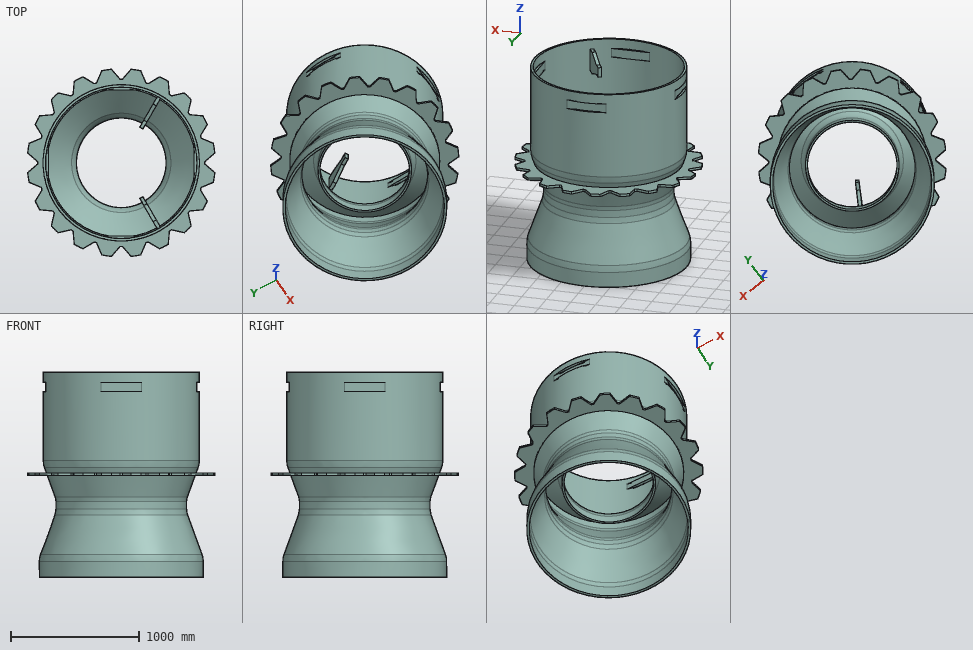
import cadquery as cq
import math

total_height = 1600.0
tube_radius = 610.0
neck_radius = 510.0
base_radius = 640.0
base_bore_radius = 1240.0 / 2
wall = base_radius - base_bore_radius
cone_angle = math.radians(20.0)
tube_bend_z = 883.0
base_bend_z = 154.0
tube_bend_radius = 160.0
neck_top_bend_radius = 104.0
neck_bottom_bend_radius = 140.0
base_bend_radius = 160.0
tube_bore_radius = tube_radius - wall

flat_distance = 589.0
flat_bottom_z = 1450.0
flat_height = 72.0

tooth_count = 20
ring_bottom_z = 795.0
ring_thickness = wall
ring_top_z = ring_bottom_z + ring_thickness
ring_bore_radius = tube_radius - (tube_bend_z - ring_top_z) * math.tan(cone_angle)
tip_radius = 735.0
root_radius = 653.0
tip_half_angle = 3.0
root_half_angle = 0.8

funnel_wall = 16.0
funnel_angle = math.radians(45.0)
funnel_rim_z = 1002.0
spout_radius = 698.0 / 2
spout_bend_radius = 131.0
spout_length = 80.0

paddle_angles = (60.0, -60.0)
paddle_thickness = 29.0
paddle_tip_radius = 312.0
taper_inner_radius = 376.0
taper_outer_radius = 522.0
paddle_middle_z = 1432.0
paddle_tip_height = 78.0
paddle_root_height = 180.0


def revolve_outline(points):
    """Revolve a closed outline of (radius, z) points about the Z axis."""
    return cq.Workplane("XZ").polyline(points).close().revolve(360, (0, 0, 0), (0, 1, 0))


def round_edges_at(body, z, radius):
    """Fillet the circular edges that lie at height z."""
    reach = 2 * base_radius
    margin = 2.0
    level = cq.selectors.BoxSelector(
        (-reach, -reach, z - margin), (reach, reach, z + margin), boundingbox=True
    )
    return body.edges(level).fillet(radius)


def disc(radius, bottom_z, height):
    return cq.Workplane("XY").workplane(offset=bottom_z).circle(radius).extrude(height)


def polar(radius, degrees):
    angle = math.radians(degrees)
    return (radius * math.cos(angle), radius * math.sin(angle))


def waisted_solid(inset):
    """Solid bounded by the shell's outer surface moved inward by inset."""
    bend_shift = inset * math.tan(cone_angle / 2)
    tube_r = tube_radius - inset
    neck_r = neck_radius - inset
    base_r = base_radius - inset
    tube_z = tube_bend_z + bend_shift
    neck_top_z = tube_z - (tube_r - neck_r) / math.tan(cone_angle)
    base_z = base_bend_z - bend_shift
    neck_bottom_z = base_z + (base_r - neck_r) / math.tan(cone_angle)
    body = revolve_outline([
        (0, 0),
        (base_r, 0),
        (base_r, base_z),
        (neck_r, neck_bottom_z),
        (neck_r, neck_top_z),
        (tube_r, tube_z),
        (tube_r, total_height),
        (0, total_height),
    ])
    body = round_edges_at(body, tube_z, tube_bend_radius - inset)
    body = round_edges_at(body, neck_top_z, neck_top_bend_radius + inset)
    body = round_edges_at(body, neck_bottom_z, neck_bottom_bend_radius + inset)
    return round_edges_at(body, base_z, base_bend_radius - inset)


def flat_segments(distance):
    """The four pieces of a disc that lie outside a square with sides at this distance."""
    square = (
        cq.Workplane("XY")
        .workplane(offset=flat_bottom_z)
        .rect(2 * distance, 2 * distance)
        .extrude(flat_height)
    )
    return disc(base_radius, flat_bottom_z, flat_height).cut(square)


def make_shell():
    outside = waisted_solid(0).cut(flat_segments(flat_distance))
    inside = waisted_solid(wall).cut(flat_segments(flat_distance - wall))
    return outside.cut(inside)


def make_toothed_ring():
    pitch = 360 / tooth_count
    outline = (
        cq.Workplane("XY")
        .workplane(offset=ring_bottom_z)
        .moveTo(*polar(root_radius, root_half_angle))
    )
    for tooth in range(tooth_count):
        tip = (tooth + 0.5) * pitch
        next_root = (tooth + 1) * pitch
        outline = (
            outline.lineTo(*polar(tip_radius, tip - tip_half_angle))
            .threePointArc(polar(tip_radius, tip), polar(tip_radius, tip + tip_half_angle))
            .lineTo(*polar(root_radius, next_root - root_half_angle))
        )
        if tooth < tooth_count - 1:
            outline = outline.lineTo(*polar(root_radius, next_root + root_half_angle))
    plate = outline.close().extrude(ring_thickness)
    return plate.cut(disc(ring_bore_radius, ring_bottom_z, ring_thickness))


def make_funnel():
    rim_radius = tube_bore_radius - funnel_wall * math.cos(funnel_angle)
    inner_bend_z = funnel_rim_z - (rim_radius - spout_radius) / math.tan(funnel_angle)
    outer_bend_z = inner_bend_z - funnel_wall * math.tan(funnel_angle / 2)
    spout_bottom_z = inner_bend_z - spout_bend_radius * math.tan(funnel_angle / 2) - spout_length
    funnel = revolve_outline([
        (rim_radius, funnel_rim_z),
        (spout_radius, inner_bend_z),
        (spout_radius, spout_bottom_z),
        (spout_radius + funnel_wall, spout_bottom_z),
        (spout_radius + funnel_wall, outer_bend_z),
        (tube_bore_radius, funnel_rim_z - funnel_wall * math.sin(funnel_angle)),
    ])
    funnel = round_edges_at(funnel, inner_bend_z, spout_bend_radius)
    return round_edges_at(funnel, outer_bend_z, spout_bend_radius - funnel_wall)


def make_paddle(angle):
    half_tip = paddle_tip_height / 2
    half_root = paddle_root_height / 2
    upper_edge = [
        (paddle_tip_radius, half_tip),
        (taper_inner_radius, half_tip),
        (taper_outer_radius, half_root),
        (tube_radius, half_root),
    ]
    lower_edge = [(radius, -height) for radius, height in reversed(upper_edge)]
    blade = (
        cq.Workplane("XZ", origin=(0, 0, paddle_middle_z))
        .polyline(upper_edge + lower_edge)
        .close()
        .extrude(paddle_thickness / 2, both=True)
    )
    blade = blade.intersect(disc(tube_bore_radius, 0, total_height))
    return blade.rotate((0, 0, 0), (0, 0, 1), angle)


shell = make_shell()
toothed_ring = make_toothed_ring()
funnel = make_funnel()
paddles = [make_paddle(angle).val() for angle in paddle_angles]

result = cq.Compound.makeCompound([shell.val(), toothed_ring.val(), funnel.val(), *paddles])